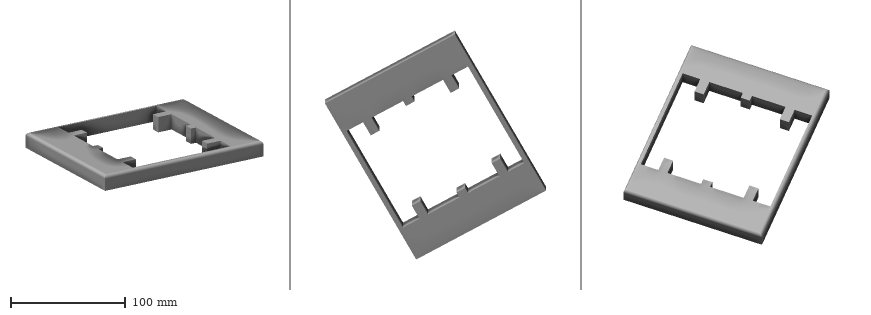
import cadquery as cq

width = 130.0
length = 164.0
height = 14.3
edge_radius = 3.0

opening_width = 121.5
opening_length = 101.4

tab_width = 8.5
outer_tab_reach = 13.8
center_tab_reach = 5.2
outer_tab_offset = 40.0


def centered_box(size_x, size_y):
    """Full-height block centered in X and Y, standing on Z = 0."""
    return cq.Workplane("XY").box(size_x, size_y, height, centered=(True, True, False))


def tab(x, reach, side):
    """Tab at x on the +Y (side = 1) or -Y (side = -1) bar."""
    y = side * (opening_length - reach) / 2
    return centered_box(tab_width, reach).translate((x, y, 0))


frame = centered_box(width, length).faces(">Z").edges().fillet(edge_radius)

opening = centered_box(opening_width, opening_length)
for side in (-1, 1):
    opening = opening.cut(tab(0, center_tab_reach, side))
    for x in (-outer_tab_offset, outer_tab_offset):
        opening = opening.cut(tab(x, outer_tab_reach, side))

result = frame.cut(opening)